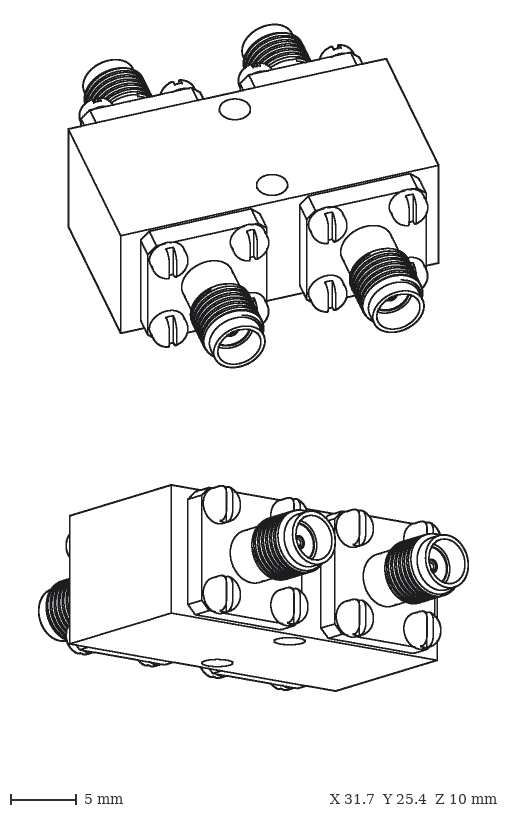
import cadquery as cq
import math

body_x = 12.7
body_y = 25.4
body_z = 10.0
mount_hole_dia = 2.35
mount_hole_spacing = 9.0

overall_x = 31.7
connector_pitch = body_y / 2
flange_y = 9.53
flange_z = 9.6
flange_thickness = 1.73
flange_chamfer = 0.7

screw_pitch_y = 6.45
screw_pitch_z = 7.0
screw_head_dia = 2.8
screw_head_height = 1.46
screw_head_round = 0.72
slot_width = 0.58
slot_depth = 0.82

barrel_radius = 2.05
crest_radius = 2.41
thread_depth = 0.25
thread_pitch = 0.5
thread_half_angle = math.radians(30)
groove_start_angle = 20
thread_near_tip = 1.05
thread_length = 3.92
thread_chamfer = crest_radius - barrel_radius

socket_radius = 1.72
socket_depth = 1.9
recess_radius = 1.49
recess_depth = 0.1
pin_radius = 0.52
pin_hole_radius = 0.28
pin_hole_depth = 1.5
pin_hole_chamfer = 0.12
drill_point_half_angle = math.radians(59)

tip_height = (overall_x - body_x) / 2
thread_end = tip_height - thread_near_tip
thread_start = thread_end - thread_length
groove_start = thread_start + thread_chamfer
socket_floor = tip_height - socket_depth


def make_body():
    return (
        cq.Workplane("XY")
        .box(body_x, body_y, body_z)
        .faces(">Z")
        .workplane()
        .rarray(mount_hole_spacing, 1, 2, 1)
        .hole(mount_hole_dia)
    )




def make_flange():
    return (
        cq.Workplane("XY")
        .rect(flange_z, flange_y)
        .extrude(flange_thickness)
        .edges("|Z")
        .chamfer(flange_chamfer)
    )


def make_screw_heads():
    """Four domed heads, each with a slot along the part's Z direction."""
    head = (
        cq.Workplane("XY")
        .circle(screw_head_dia / 2)
        .extrude(screw_head_height)
        .faces(">Z")
        .edges()
        .fillet(screw_head_round)
    )
    slot = (
        cq.Workplane("XY")
        .workplane(offset=screw_head_height - slot_depth)
        .rect(screw_head_dia, slot_width)
        .extrude(slot_depth)
    )
    slotted_head = head.cut(slot).val()
    return (
        cq.Workplane("XY")
        .workplane(offset=flange_thickness)
        .rarray(screw_pitch_z, screw_pitch_y, 2, 2)
        .eachpoint(lambda place: slotted_head.located(place), combine=False)
    )


def make_thread_groove():
    """Helical V groove running from the rear chamfer out past the front one."""
    clearance = 0.1
    root_radius = crest_radius - thread_depth
    outer_radius = crest_radius + clearance
    half_width = (thread_depth + clearance) * math.tan(thread_half_angle)
    helix = cq.Wire.makeHelix(thread_pitch, thread_end - groove_start, crest_radius)
    groove = (
        cq.Workplane("XZ")
        .polyline([(root_radius, 0), (outer_radius, half_width), (outer_radius, -half_width)])
        .close()
        .sweep(cq.Workplane(obj=helix), isFrenet=True)
    )
    return groove.rotate((0, 0, 0), (0, 0, 1), groove_start_angle).translate((0, 0, groove_start))


def make_thread_blank():
    return cq.Workplane("XY").workplane(offset=thread_start).circle(crest_radius).extrude(thread_length)


def make_barrel():
    """Plain round stock carrying a threaded band with chamfered ends."""
    stock = cq.Workplane("XY").circle(barrel_radius).extrude(tip_height)
    chamfered_blank = make_thread_blank().edges().chamfer(thread_chamfer)
    band = make_thread_blank().cut(make_thread_groove()).intersect(chamfered_blank)
    return stock.union(band)


def make_socket():
    """Round socket with a shallow ring recess around a hollow centre pin."""
    entry = cq.Workplane("XY").workplane(offset=socket_floor).circle(socket_radius).extrude(socket_depth)
    recess = (
        cq.Workplane("XY")
        .workplane(offset=socket_floor - recess_depth)
        .circle(recess_radius)
        .circle(pin_radius)
        .extrude(recess_depth)
    )
    return entry.union(recess).union(make_pin_hole())


def make_pin_hole():
    """Blind hole in the pin with a chamfered mouth and a conical bottom."""
    mouth_radius = pin_hole_radius + pin_hole_chamfer
    hole_bottom = socket_floor - pin_hole_depth
    point_depth = pin_hole_radius / math.tan(drill_point_half_angle)
    outline = [
        (0, hole_bottom - point_depth),
        (pin_hole_radius, hole_bottom),
        (pin_hole_radius, socket_floor - pin_hole_chamfer),
        (mouth_radius, socket_floor),
        (0, socket_floor),
    ]
    return cq.Workplane("XZ").polyline(outline).close().revolve(360, (0, 0), (0, 1))


def make_connector():
    """One connector on the -X end, centred on the part's X axis."""
    connector = make_flange().union(make_screw_heads()).union(make_barrel()).cut(make_socket())
    return connector.rotate((0, 0, 0), (0, 1, 0), -90).translate((-body_x / 2, 0, 0))


result = make_body()
connector = make_connector()
for end_angle in (0, 180):
    facing_out = connector.rotate((0, 0, 0), (0, 0, 1), end_angle)
    for side in (-1, 1):
        result = result.union(facing_out.translate((0, side * connector_pitch / 2, 0)))